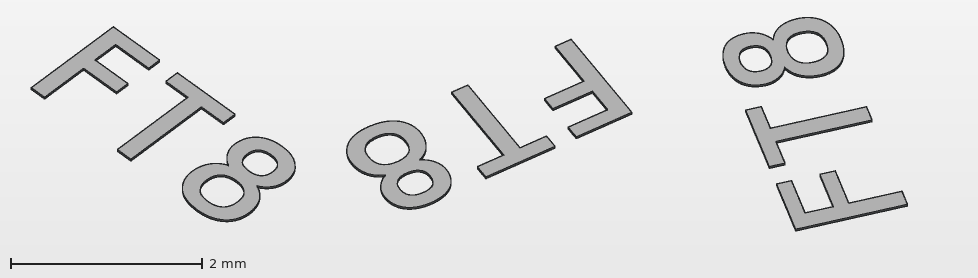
import cadquery as cq

thickness = 0.03
letter_height = 1.225

f_width = 0.68
f_stem_width = 0.195
f_top_bar = 0.165
f_middle_bar_top = 0.752
f_middle_bar_bottom = 0.582

t_left = 0.94
t_width = 0.847
t_stem_width = 0.2
t_bar = 0.173

total_length = 2.88
lower_half_width = 0.42
upper_half_width = 0.377
eight_center_x = total_length - lower_half_width
eight_top = 1.24
eight_bottom = -0.03
upper_widest_y = 0.915
lower_widest_y = 0.328
waist_half_width = 0.207
waist_y = 0.655
waist_upper_control = (0.317, 0.705)
upper_side_control = (upper_half_width, 0.805)
waist_lower_control = (0.34, 0.608)
lower_side_control = (lower_half_width, 0.485)
outer_fullness = 0.62

hole_fullness = 0.65
upper_hole_half_width = 0.185
upper_hole_top = 1.075
upper_hole_bottom = 0.745
lower_hole_half_width = 0.225
lower_hole_top = 0.555
lower_hole_bottom = 0.135


def make_f():
    points = [
        (0, 0),
        (f_stem_width, 0),
        (f_stem_width, f_middle_bar_bottom),
        (f_width, f_middle_bar_bottom),
        (f_width, f_middle_bar_top),
        (f_stem_width, f_middle_bar_top),
        (f_stem_width, letter_height - f_top_bar),
        (f_width, letter_height - f_top_bar),
        (f_width, letter_height),
        (0, letter_height),
    ]
    return cq.Workplane("XY").polyline(points).close().extrude(thickness)


def make_t():
    t_right = t_left + t_width
    stem_left = t_left + (t_width - t_stem_width) / 2
    stem_right = stem_left + t_stem_width
    bar_bottom = letter_height - t_bar
    points = [
        (stem_left, 0),
        (stem_right, 0),
        (stem_right, bar_bottom),
        (t_right, bar_bottom),
        (t_right, letter_height),
        (t_left, letter_height),
        (t_left, bar_bottom),
        (stem_left, bar_bottom),
    ]
    return cq.Workplane("XY").polyline(points).close().extrude(thickness)


def end_to_side(half_width, end_y, side_y, fullness):
    """Quarter curve from the centre line at end_y to the side at side_y."""
    return [
        (0, end_y),
        (half_width * fullness, end_y),
        (half_width, side_y + (end_y - side_y) * fullness),
        (half_width, side_y),
    ]


def mirrored_outline(right_curves):
    """Draw the right-hand Bezier curves top to bottom, then their mirror images back up."""
    left_curves = [[(-x, y) for x, y in reversed(curve)] for curve in reversed(right_curves)]
    sketch = cq.Workplane("XY", origin=(eight_center_x, 0, 0)).moveTo(*right_curves[0][0])
    for curve in right_curves + left_curves:
        sketch = sketch.bezier(curve)
    return sketch.wire()


def make_opening(half_width, top, bottom):
    side_y = (top + bottom) / 2
    upper = end_to_side(half_width, top, side_y, hole_fullness)
    lower = end_to_side(half_width, bottom, side_y, hole_fullness)
    return mirrored_outline([upper, lower[::-1]]).extrude(thickness)


def make_eight():
    waist = (waist_half_width, waist_y)
    upper_side = (upper_half_width, upper_widest_y)
    lower_side = (lower_half_width, lower_widest_y)
    bottom_quarter = end_to_side(lower_half_width, eight_bottom, lower_widest_y, outer_fullness)
    right_curves = [
        end_to_side(upper_half_width, eight_top, upper_widest_y, outer_fullness),
        [upper_side, upper_side_control, waist_upper_control, waist],
        [waist, waist_lower_control, lower_side_control, lower_side],
        bottom_quarter[::-1],
    ]
    plate = mirrored_outline(right_curves).extrude(thickness)
    upper_hole = make_opening(upper_hole_half_width, upper_hole_top, upper_hole_bottom)
    lower_hole = make_opening(lower_hole_half_width, lower_hole_top, lower_hole_bottom)
    return plate.cut(upper_hole).cut(lower_hole)


f_plate = make_f()
t_plate = make_t()
eight_plate = make_eight()

result = cq.Compound.makeCompound([f_plate.val(), t_plate.val(), eight_plate.val()])